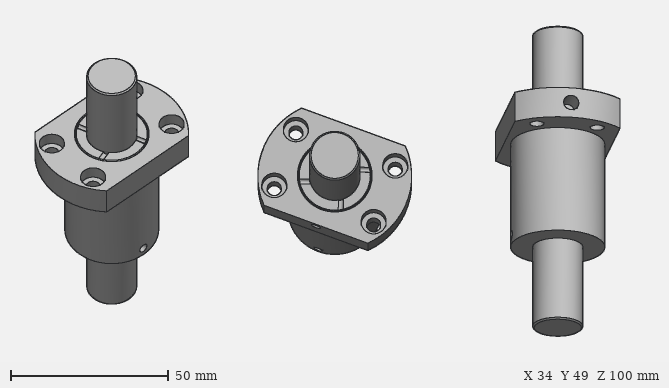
import cadquery as cq
import math

shaft_length = 100.0
shaft_diameter = 16.0
shaft_chamfer = 0.5

nut_length = 45.0
nut_diameter = 30.0
flange_diameter = 49.0
flange_width = 34.0
flange_thickness = 10.0
nut_bottom = -nut_length / 2
nut_top = nut_length / 2
flange_bottom = nut_top - flange_thickness

bolt_circle_diameter = 39.0
bolt_angle_from_y = 30.0
bolt_hole_diameter = 4.5
counterbore_diameter = 8.0
counterbore_depth = 4.4

pin_hole_diameter = 3.0
pin_hole_depth = 5.0
pin_hole_edge_distance = 3.0
grease_hole_diameter = 4.9
grease_hole_depth = 8.0

wiper_depth = 2.0
wiper_bore_diameter = 16.2
rim_outer_diameter = 23.8
rim_inner_diameter = 22.6
rim_groove_depth = 0.3
slot_count = 4
slot_diameter = 1.6
slot_offset = 2.2
slot_direction = 19.0


def make_shaft():
    shaft = cq.Workplane("XY").circle(shaft_diameter / 2).extrude(shaft_length / 2, both=True)
    return shaft.faces("|Z").chamfer(shaft_chamfer)


def make_nut():
    body = cq.Workplane("XY", origin=(0, 0, nut_bottom)).circle(nut_diameter / 2).extrude(nut_length)
    flange_plane = cq.Workplane("XY", origin=(0, 0, flange_bottom))
    disc = flange_plane.circle(flange_diameter / 2).extrude(flange_thickness)
    flats = flange_plane.rect(flange_width, flange_diameter).extrude(flange_thickness)
    return body.union(disc.intersect(flats))


def cut_mounting_holes(nut):
    spacing_x = bolt_circle_diameter * math.sin(math.radians(bolt_angle_from_y))
    spacing_y = bolt_circle_diameter * math.cos(math.radians(bolt_angle_from_y))
    return (
        nut.faces(">Z")
        .workplane(origin=(0, 0, nut_top))
        .rect(spacing_x, spacing_y, forConstruction=True)
        .vertices()
        .cboreHole(bolt_hole_diameter, counterbore_diameter, counterbore_depth, flange_thickness)
    )


def blind_hole(diameter, depth, start, direction):
    return cq.Workplane(cq.Solid.makeCylinder(diameter / 2, depth, cq.Vector(*start), cq.Vector(*direction)))


def cut_cross_holes(nut):
    flange_pin_start = (-flange_width / 2, 0, nut_top - pin_hole_edge_distance)
    nut = nut.cut(blind_hole(pin_hole_diameter, pin_hole_depth, flange_pin_start, (1, 0, 0)))
    for side in (-1, 1):
        body_pin_start = (side * nut_diameter / 2, 0, nut_bottom + pin_hole_edge_distance)
        nut = nut.cut(blind_hole(pin_hole_diameter, pin_hole_depth, body_pin_start, (-side, 0, 0)))

    grease_start = (0, flange_diameter / 2, nut_top - flange_thickness / 2)
    return nut.cut(blind_hole(grease_hole_diameter, grease_hole_depth, grease_start, (0, -1, 0)))


def ring(outer_diameter, inner_diameter, depth):
    plane = cq.Workplane("XY", origin=(0, 0, nut_top))
    return plane.circle(outer_diameter / 2).circle(inner_diameter / 2).extrude(-depth)


def rim_groove():
    outer_radius = rim_outer_diameter / 2
    inner_radius = rim_inner_diameter / 2
    middle_radius = (outer_radius + inner_radius) / 2
    section = cq.Workplane("XZ").polyline(
        [(inner_radius, nut_top), (outer_radius, nut_top), (middle_radius, nut_top - rim_groove_depth)]
    )
    return section.close().revolve(360, (0, 0, 0), (0, 1, 0))


def cut_wiper(nut):
    nut = nut.cut(ring(wiper_bore_diameter, shaft_diameter, wiper_depth))
    nut = nut.cut(rim_groove())

    wiper = ring(rim_inner_diameter, wiper_bore_diameter, wiper_depth)
    slot = blind_hole(slot_diameter, rim_outer_diameter / 2, (0, slot_offset, nut_top), (1, 0, 0))
    for index in range(slot_count):
        angle = slot_direction + index * 360 / slot_count
        turned_slot = slot.rotate((0, 0, 0), (0, 0, 1), angle)
        nut = nut.cut(turned_slot.intersect(wiper))
    return nut


nut = cut_wiper(cut_cross_holes(cut_mounting_holes(make_nut())))
result = nut.union(make_shaft())